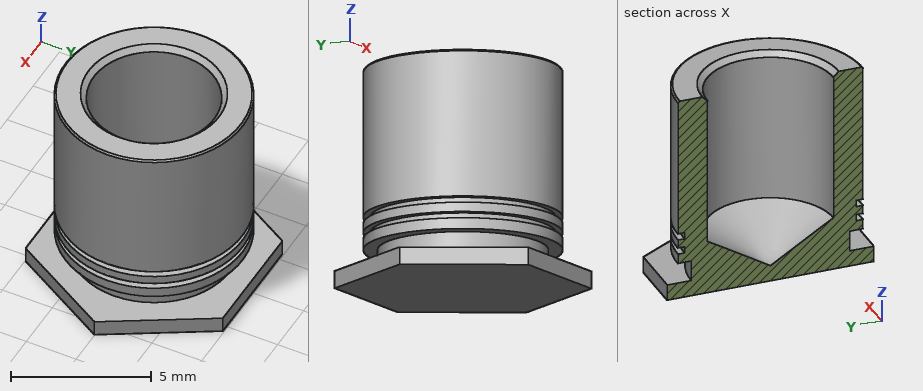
import cadquery as cq
import math

hex_corner_diameter = 9.15
hex_thickness = 0.63

total_height = 7.94
body_diameter = 7.11
neck_diameter = 6.09
groove_diameter = 6.61
neck_top = 1.4
groove_bottoms = (1.79, 2.36)
groove_width = 0.23
rim_chamfer = 0.06

bore_diameter = 4.82
bore_mouth_diameter = 5.23
mouth_chamfer = (bore_mouth_diameter - bore_diameter) / 2
drill_tip_angle = 118.0
bore_tip_height = hex_thickness
bore_tip_depth = bore_diameter / 2 / math.tan(math.radians(drill_tip_angle / 2))


def cylinder(diameter, bottom, top):
    return cq.Workplane("XY").workplane(offset=bottom).circle(diameter / 2).extrude(top - bottom)


def groove(bottom):
    """Ring-shaped cutter for one groove around the body."""
    top = bottom + groove_width
    return cylinder(body_diameter, bottom, top).cut(cylinder(groove_diameter, bottom, top))


def bore():
    """Revolved cutter: conical tip, straight wall and chamfered mouth."""
    bore_radius = bore_diameter / 2
    return (
        cq.Workplane("XZ")
        .moveTo(0, bore_tip_height)
        .lineTo(bore_radius, bore_tip_height + bore_tip_depth)
        .lineTo(bore_radius, total_height - mouth_chamfer)
        .lineTo(bore_mouth_diameter / 2, total_height)
        .lineTo(0, total_height)
        .close()
        .revolve(360, (0, 0, 0), (0, 1, 0))
    )


flange = cq.Workplane("XY").polygon(6, hex_corner_diameter).extrude(hex_thickness)
neck = cylinder(neck_diameter, 0, neck_top)
body = cylinder(body_diameter, neck_top, total_height).faces(">Z").chamfer(rim_chamfer)
for groove_bottom in groove_bottoms:
    body = body.cut(groove(groove_bottom))

result = flange.union(neck).union(body).cut(bore())